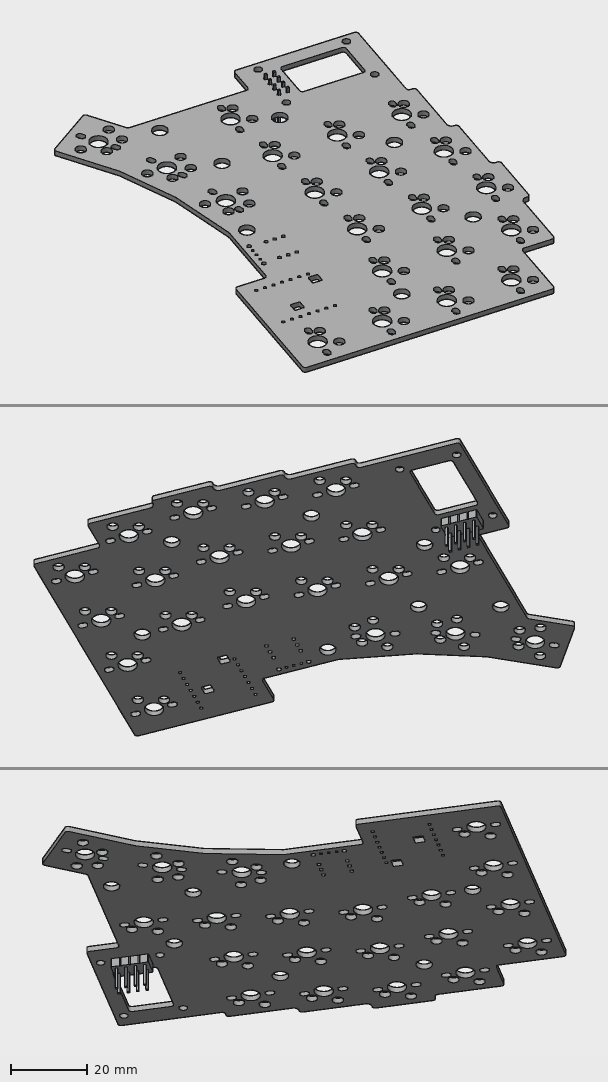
import cadquery as cq
import math

BOARD_THICKNESS = 1.6
KEY_PITCH = 19.1
KEY_MARGIN = 8.5

FIRST_COLUMN_X = -42.3
COLUMN_BASE_Y = [-3.6, -1.1, 1.4, 3.9, 1.4, -27.7]
COLUMN_KEYS = [1, 3, 3, 3, 3, 4]
COLUMN_X = [FIRST_COLUMN_X + i * KEY_PITCH for i in range(len(COLUMN_KEYS))]
COLUMN_EDGE_Y = [
    base + (keys - 1) * KEY_PITCH + KEY_MARGIN
    for base, keys in zip(COLUMN_BASE_Y, COLUMN_KEYS)
]

THUMB_KEYS = [((-11.8, -20.9), 15), ((-31.5, -28.0), 25), ((-49.7, -38.8), 35)]
THUMB_MARGIN = 8.7

RIGHT_X = COLUMN_X[-1] + KEY_MARGIN
BOTTOM_Y = COLUMN_BASE_Y[-1] - KEY_MARGIN
DISPLAY_LEFT_X = -60.3
DISPLAY_TOP_Y = 43.2
DISPLAY_BOTTOM_Y = 6.6
FIRST_COLUMN_EDGE_X = -51.3
CONTROLLER_LEFT_X = 22.4
CONTROLLER_NOTCH_Y = -26.6
CORNER_RADIUS = 0.9
STEP_RADIUS = 1.4

STEM_DIAMETER = 5.0
CONTACT_DIAMETER = 3.0
CONTACT_POINTS = [(2.6, 5.0), (-3.8, 2.6)]
THUMB_EXTRA_CONTACT_POINTS = [(0, -5.9), (-5.0, -3.7)]
POST_OFFSET = 5.2
POST_SLOT_LENGTH = 2.6
POST_SLOT_WIDTH = 1.8

MOUNT_DIAMETER = 4.3
MOUNT_POINTS = [
    (24.4, 33.2), (-13.5, 29.8), (-36.9, 8.1), (45.0, 1.4),
    (-26.5, -14.4), (2.0, -21.9), (-46.5, -22.3),
]

WINDOW_LEFT_X = -56.0
WINDOW_RIGHT_X = -43.9
WINDOW_TOP_Y = 37.3
WINDOW_BOTTOM_Y = 18.1
WINDOW_RADIUS = 0.9
SCREW_DIAMETER = 2.2
SCREW_CENTRE = (-49.8, 25.7)
SCREW_SPACING_X = 16.0
SCREW_SPACING_Y = 26.1

THREE_PITCHES = 7.6
PIN_PITCH = THREE_PITCHES / 3

HEADER_CENTRE = (-49.7, 13.9)
HEADER_COLUMNS = 4
HEADER_ROWS = 2
HEADER_HOLE_DIAMETER = 1.0
HEADER_CHAMFER = 0.2
PIN_WIDTH = 0.64
PIN_TOP_Z = 3.0
PIN_LENGTH = 11.6

JACK_CENTRE = (12.5, -17.2)
JACK_ROWS = 3
JACK_HOLE_DIAMETER = 1.0
SWITCH_Y = -24.6
SWITCH_PIN_OFFSET = 2.1
SWITCH_PIN_DIAMETER = 0.7
SWITCH_PEG_OFFSET = 4.2
SWITCH_PEG_DIAMETER = 1.2

CONTROLLER_CENTRE = (33.7, -24.1)
CONTROLLER_ROWS = 7
CONTROLLER_HOLE_DIAMETER = 0.81
CONTROLLER_ROW_SPACING = 2 * THREE_PITCHES
PAD_OPENING_POINTS = [(28.8, -15.7), (37.0, -25.3)]
PAD_OPENING_WIDTH = 2.7
PAD_OPENING_HEIGHT = 2.8
PAD_OPENING_RADIUS = 0.4


def key_point(centre, tilt, local):
    """Board position of a point given relative to a key tilted by `tilt` degrees."""
    c = math.cos(math.radians(tilt))
    s = math.sin(math.radians(tilt))
    return (centre[0] + local[0] * c - local[1] * s, centre[1] + local[0] * s + local[1] * c)


def crossing(point_a, tilt_a, point_b, tilt_b):
    """Point where two lines meet, each given by a point on it and its angle in degrees."""
    ax, ay = math.cos(math.radians(tilt_a)), math.sin(math.radians(tilt_a))
    bx, by = math.cos(math.radians(tilt_b)), math.sin(math.radians(tilt_b))
    dx, dy = point_b[0] - point_a[0], point_b[1] - point_a[1]
    along = (dx * by - dy * bx) / (ax * by - ay * bx)
    return (point_a[0] + along * ax, point_a[1] + along * ay)


def grid(centre, columns, rows, spacing_x, spacing_y):
    """Points of a rectangular grid centred on `centre`."""
    return [
        (centre[0] + (i - (columns - 1) / 2) * spacing_x, centre[1] + (j - (rows - 1) / 2) * spacing_y)
        for i in range(columns)
        for j in range(rows)
    ]


def round_holes(points, diameter):
    """Cylinders through the board thickness."""
    return cq.Workplane("XY").pushPoints(points).circle(diameter / 2).extrude(BOARD_THICKNESS)


def board_outline():
    """Corners of the board, clockwise from the lower left corner of the display area."""
    half = KEY_MARGIN
    points = [
        (DISPLAY_LEFT_X, DISPLAY_BOTTOM_Y),
        (DISPLAY_LEFT_X, DISPLAY_TOP_Y),
        (COLUMN_X[1] - half, DISPLAY_TOP_Y),
        (COLUMN_X[1] - half, COLUMN_EDGE_Y[1]),
        (COLUMN_X[2] - half, COLUMN_EDGE_Y[1]),
        (COLUMN_X[2] - half, COLUMN_EDGE_Y[2]),
        (COLUMN_X[3] - half, COLUMN_EDGE_Y[2]),
        (COLUMN_X[3] - half, COLUMN_EDGE_Y[3]),
        (COLUMN_X[3] + half, COLUMN_EDGE_Y[3]),
        (COLUMN_X[3] + half, COLUMN_EDGE_Y[4]),
        (COLUMN_X[4] + half, COLUMN_EDGE_Y[4]),
        (COLUMN_X[4] + half, COLUMN_EDGE_Y[5]),
        (RIGHT_X, COLUMN_EDGE_Y[5]),
        (RIGHT_X, BOTTOM_Y),
        (CONTROLLER_LEFT_X, BOTTOM_Y),
        (CONTROLLER_LEFT_X, CONTROLLER_NOTCH_Y),
    ]
    previous, previous_tilt = points[-1], 0
    for centre, tilt in THUMB_KEYS:
        edge = key_point(centre, tilt, (0, -THUMB_MARGIN))
        points.append(crossing(previous, previous_tilt, edge, tilt))
        previous, previous_tilt = edge, tilt
    centre, tilt = THUMB_KEYS[-1]
    points.append(key_point(centre, tilt, (-THUMB_MARGIN, -THUMB_MARGIN)))
    points.append(key_point(centre, tilt, (-THUMB_MARGIN, THUMB_MARGIN)))
    inner_edge = (FIRST_COLUMN_EDGE_X, DISPLAY_BOTTOM_Y)
    points.append(crossing(inner_edge, 90, key_point(centre, tilt, (0, THUMB_MARGIN)), tilt))
    points.append(inner_edge)
    return points


def step_corners():
    """Inner corners of the steps between the middle key columns."""
    half = KEY_MARGIN
    return [
        (COLUMN_X[2] - half, COLUMN_EDGE_Y[1]),
        (COLUMN_X[3] - half, COLUMN_EDGE_Y[2]),
        (COLUMN_X[3] + half, COLUMN_EDGE_Y[4]),
    ]


def round_corners(board, corners, radius):
    """Round the upright edges of the board that stand at the given corners."""
    middle = BOARD_THICKNESS / 2
    edges = [board.edges(cq.NearestToPointSelector((x, y, middle))).val() for x, y in corners]
    return board.newObject(edges).fillet(radius)


def key_holes(centre, tilt, contacts):
    """Holes of one key switch: stem, contacts and two side posts."""
    contact_points = [key_point(centre, tilt, contact) for contact in contacts]
    post_points = [key_point(centre, tilt, (side * POST_OFFSET, 0)) for side in (-1, 1)]
    posts = (
        cq.Workplane("XY")
        .pushPoints(post_points)
        .slot2D(POST_SLOT_LENGTH, POST_SLOT_WIDTH, tilt)
        .extrude(BOARD_THICKNESS)
    )
    return [
        round_holes([centre], STEM_DIAMETER),
        round_holes(contact_points, CONTACT_DIAMETER),
        posts,
    ]


def all_key_holes():
    """Holes of every key, first column by column and then for the thumb."""
    holes = []
    for x, base_y, keys in zip(COLUMN_X, COLUMN_BASE_Y, COLUMN_KEYS):
        for row in range(keys):
            holes += key_holes((x, base_y + row * KEY_PITCH), 0, CONTACT_POINTS)
    for centre, tilt in THUMB_KEYS:
        holes += key_holes(centre, tilt + 180, CONTACT_POINTS + THUMB_EXTRA_CONTACT_POINTS)
    return holes


def rectangle_opening(centre, width, height, radius):
    """Round-cornered block through the board thickness."""
    return (
        cq.Workplane("XY")
        .center(*centre)
        .rect(width, height)
        .extrude(BOARD_THICKNESS)
        .edges("|Z")
        .fillet(radius)
    )


def display_openings():
    """Display window, its four screw holes and the holes for the header pins."""
    width = WINDOW_RIGHT_X - WINDOW_LEFT_X
    height = WINDOW_TOP_Y - WINDOW_BOTTOM_Y
    centre = (WINDOW_LEFT_X + width / 2, WINDOW_BOTTOM_Y + height / 2)
    screws = grid(SCREW_CENTRE, 2, 2, SCREW_SPACING_X, SCREW_SPACING_Y)
    return [
        rectangle_opening(centre, width, height, WINDOW_RADIUS),
        round_holes(screws, SCREW_DIAMETER),
        round_holes(header_points(), HEADER_HOLE_DIAMETER),
    ]


def jack_and_switch_holes():
    """Two rows of jack holes and, below them, three switch pins between two locating pegs."""
    switch_centre = (JACK_CENTRE[0], SWITCH_Y)
    jack = grid(JACK_CENTRE, 2, JACK_ROWS, THREE_PITCHES, PIN_PITCH)
    switch_pins = grid(switch_centre, 3, 1, SWITCH_PIN_OFFSET, 0)
    switch_pegs = grid(switch_centre, 2, 1, 2 * SWITCH_PEG_OFFSET, 0)
    return [
        round_holes(jack, JACK_HOLE_DIAMETER),
        round_holes(switch_pins, SWITCH_PIN_DIAMETER),
        round_holes(switch_pegs, SWITCH_PEG_DIAMETER),
    ]


def controller_openings():
    """Two rows of controller pin holes and two square openings between them."""
    pins = grid(CONTROLLER_CENTRE, 2, CONTROLLER_ROWS, CONTROLLER_ROW_SPACING, PIN_PITCH)
    pads = [
        rectangle_opening(centre, PAD_OPENING_WIDTH, PAD_OPENING_HEIGHT, PAD_OPENING_RADIUS)
        for centre in PAD_OPENING_POINTS
    ]
    return [round_holes(pins, CONTROLLER_HOLE_DIAMETER)] + pads


def make_board():
    outline = board_outline()
    steps = step_corners()
    plain = [corner for corner in outline if corner not in steps]
    board = cq.Workplane("XY").polyline(outline).close().extrude(BOARD_THICKNESS)
    board = round_corners(board, steps, STEP_RADIUS)
    board = round_corners(board, plain, CORNER_RADIUS)
    cutters = all_key_holes() + display_openings() + jack_and_switch_holes() + controller_openings()
    cutters.append(round_holes(MOUNT_POINTS, MOUNT_DIAMETER))
    cutter_solids = [solid for cutter in cutters for solid in cutter.vals()]
    return cq.Workplane(board.val().cut(*cutter_solids))


def header_points():
    return grid(HEADER_CENTRE, HEADER_COLUMNS, HEADER_ROWS, PIN_PITCH, PIN_PITCH)


def header_block():
    """Plastic block around one column of pins, hanging below the board."""
    return (
        cq.Workplane("XY")
        .rect(PIN_PITCH, HEADER_ROWS * PIN_PITCH)
        .extrude(-PIN_PITCH)
        .edges("|Z")
        .chamfer(HEADER_CHAMFER)
    )


def make_header():
    """Pin header under the board: one chamfered block per column, with pins through the board."""
    block_points = grid(HEADER_CENTRE, HEADER_COLUMNS, 1, PIN_PITCH, 0)
    blocks = (
        cq.Workplane("XY")
        .pushPoints(block_points)
        .eachpoint(header_block().val(), combine=False)
    )
    pins = (
        cq.Workplane("XY")
        .workplane(offset=PIN_TOP_Z)
        .pushPoints(header_points())
        .rect(PIN_WIDTH, PIN_WIDTH)
        .extrude(-PIN_LENGTH)
    )
    return blocks.combine().union(pins)


board = make_board()
header = make_header()
result = cq.Compound.makeCompound([board.solids().val(), header.solids().val()])